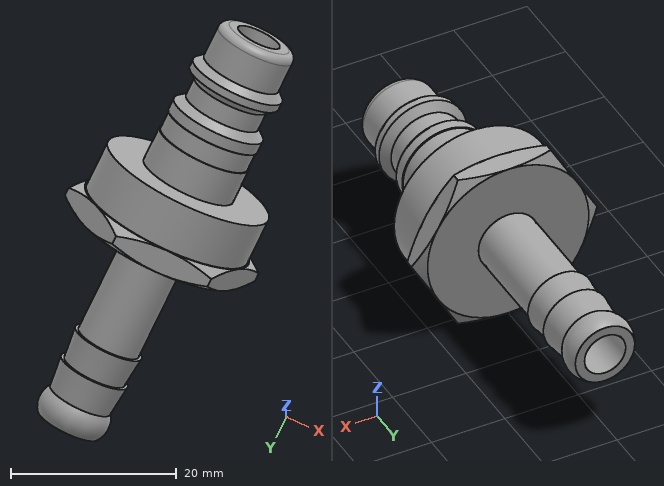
import cadquery as cq
import math

length = 54.0
bore_radius = 2.8

nose_radius = 5.0
nose_fillet = 1.0
plug_radius = 6.0
neck_radius = 4.85
groove_radius = 5.85
rib_start = 5.0
rib_rim_start = 6.0
rib_rim_end = 7.0
rib_end = 8.0
shoulder_start = 10.4
shoulder_rim_start = 11.45
groove_start = 12.95
groove_end = 15.5

collar_radius = 10.8
collar_start = 20.0
hex_start = 26.0
hex_end = 29.0
across_flats = 22.0
hex_chamfer_angle = 30.0
envelope_margin = 0.55

tail_radius = 4.05
barb_radius = 4.5
bead_radius = 4.65
bead_length = 3.45
barb_length = 4.0
barb_count = 2


def turned_body():
    """Solid of revolution with the plug, the collar and the barbed tail."""
    outline = (
        cq.Workplane("XY")
        .lineTo(nose_radius, 0)
        .lineTo(nose_radius, rib_start)
        .lineTo(plug_radius, rib_rim_start)
        .lineTo(plug_radius, rib_rim_end)
        .lineTo(neck_radius, rib_end)
        .lineTo(neck_radius, shoulder_start)
        .lineTo(plug_radius, shoulder_rim_start)
        .lineTo(plug_radius, groove_start)
        .lineTo(groove_radius, groove_start)
        .lineTo(groove_radius, groove_end)
        .lineTo(plug_radius, groove_end)
        .lineTo(plug_radius, collar_start)
        .lineTo(collar_radius, collar_start)
        .lineTo(collar_radius, hex_end)
        .lineTo(tail_radius, hex_end)
    )
    barb_start = length - bead_length - barb_count * barb_length
    outline = outline.lineTo(tail_radius, barb_start)
    for index in range(barb_count):
        outline = (
            outline.lineTo(barb_radius, barb_start + index * barb_length)
            .lineTo(tail_radius, barb_start + (index + 1) * barb_length)
        )
    outline = outline.threePointArc(
        (bead_radius, length - bead_length / 2), (tail_radius, length)
    )
    body = outline.lineTo(0, length).close().revolve(360, (0, 0), (0, 1))
    return body.faces("<Y").edges().fillet(nose_fillet)


def chamfered_hexagon():
    """Hexagon with corners along X, its corners bevelled on both faces."""
    corner_radius = across_flats / math.sqrt(3)
    face_radius = across_flats / 2
    envelope_radius = corner_radius + envelope_margin
    bevel = (envelope_radius - face_radius) * math.tan(math.radians(hex_chamfer_angle))
    prism = (
        cq.Workplane("XZ", origin=(0, hex_start, 0))
        .polygon(6, 2 * corner_radius)
        .extrude(hex_start - hex_end)
    )
    envelope = (
        cq.Workplane("XY")
        .moveTo(0, hex_start)
        .lineTo(face_radius, hex_start)
        .lineTo(envelope_radius, hex_start + bevel)
        .lineTo(envelope_radius, hex_end - bevel)
        .lineTo(face_radius, hex_end)
        .lineTo(0, hex_end)
        .close()
        .revolve(360, (0, 0), (0, 1))
    )
    return prism.intersect(envelope)


def through_bore():
    return cq.Workplane("XZ").circle(bore_radius).extrude(-length)


result = turned_body().union(chamfered_hexagon()).cut(through_bore())